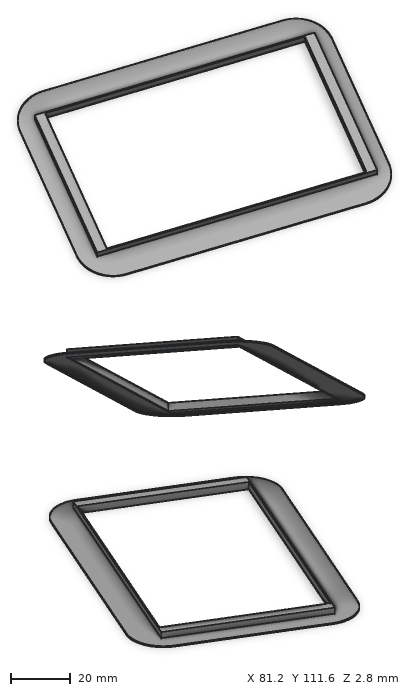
import cadquery as cq

flange_width = 81.2
flange_length = 111.6
flange_thickness = 0.5
flange_corner_radius = 13.0

frame_width = 61.0
frame_length = 100.0
frame_height = 2.8
frame_side_wall = 0.5
frame_end_wall = 3.6
front_margin = 6.3

frame_center_y = -flange_length / 2 + front_margin + frame_length / 2
opening_width = frame_width - 2 * frame_side_wall
opening_length = frame_length - 2 * frame_end_wall


def frame_block(width, length, height):
    """Rectangular block standing on Z = 0, centred on the frame."""
    return cq.Workplane("XY").center(0, frame_center_y).rect(width, length).extrude(height)


def make_flange():
    """Rounded sheet with a through opening that receives the frame."""
    sheet = (
        cq.Workplane("XY")
        .rect(flange_width, flange_length)
        .extrude(flange_thickness)
        .edges("|Z")
        .fillet(flange_corner_radius)
    )
    return sheet.cut(frame_block(frame_width, frame_length, flange_thickness))


def make_frame():
    """Rim with thin side walls and thick end walls, flush with the flange underside."""
    outer_block = frame_block(frame_width, frame_length, frame_height)
    return outer_block.cut(frame_block(opening_width, opening_length, frame_height))


flange = make_flange()
frame = make_frame()

result = cq.Compound.makeCompound([flange.val(), frame.val()])